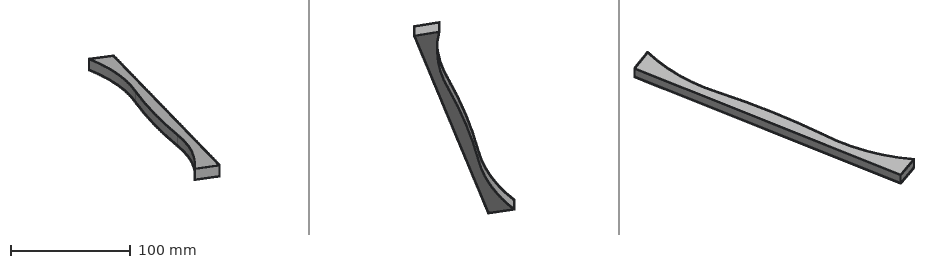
import cadquery as cq

length = 256.2
thickness = 10.0
left_end_height = 21.8
right_end_top = 27.2
right_end_lean = 0.5
right_end_bottom = 4.9

left_joint = (80.2, 13.5)
right_joint = (181.5, 15.6)
left_arc_middle = (40.0, 12.0)
centre_arc_middle = (130.7, 12.5)
right_arc_middle = (218.8, 15.0)

profile = (
    cq.Workplane("XY")
    .moveTo(0, 0)
    .threePointArc(left_arc_middle, left_joint)
    .threePointArc(centre_arc_middle, right_joint)
    .threePointArc(right_arc_middle, (length, right_end_bottom))
    .lineTo(length - right_end_lean, right_end_top)
    .lineTo(0, left_end_height)
    .close()
)

result = profile.extrude(thickness)